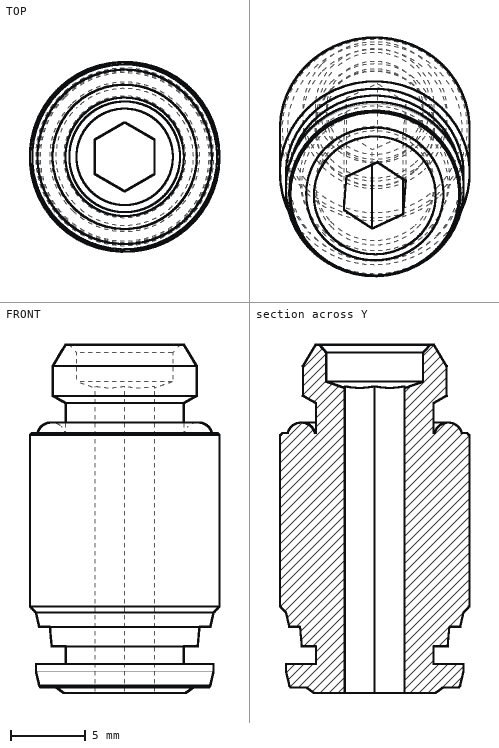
import cadquery as cq
import math

height = 23.5
body_radius = 12.8 / 2
neck_radius = 8.0 / 2

foot_top = 0.38
flange_edge_top = 0.52
flange_taper_top = 1.45
flange_top = 1.97
collar_bottom = 3.15
collar_step = 4.46
body_chamfer_bottom = 5.43
body_bottom = 5.85

body_rim_bottom = 17.4
body_top = 17.55
head_bottom = 19.55
head_lower_edge = 20.05
head_upper_edge = 22.05

foot_bottom_radius = 4.11
foot_top_radius = 4.63
flange_radius = 12.0 / 2
flange_underside_radius = 5.69
taper_radius = 5.78
collar_bottom_radius = 4.94
collar_top_radius = 5.05
head_radius = 9.73 / 2
body_rim_chamfer = body_top - body_rim_bottom

seal_top = 18.25
seal_section_radius = 0.96
seal_center_radius = neck_radius + seal_section_radius
seal_center_height = seal_top - seal_section_radius

socket_radius = 6.5 / 2
socket_mouth_radius = 3.74
socket_mouth_depth = 0.55
socket_depth = 2.5
floor_angle = 19.0
hex_across_flats = 4.02


def make_body():
    """Revolve the stepped outside shape about Z."""
    profile = [
        (0, 0),
        (foot_bottom_radius, 0),
        (foot_top_radius, foot_top),
        (flange_underside_radius, foot_top),
        (taper_radius, flange_edge_top),
        (flange_radius, flange_taper_top),
        (flange_radius, flange_top),
        (neck_radius, flange_top),
        (neck_radius, collar_bottom),
        (collar_bottom_radius, collar_bottom),
        (collar_top_radius, collar_step),
        (taper_radius, collar_step),
        (flange_radius, body_chamfer_bottom),
        (body_radius, body_bottom),
        (body_radius, body_rim_bottom),
        (body_radius - body_rim_chamfer, body_top),
        (neck_radius, body_top),
        (neck_radius, head_bottom),
        (head_radius, head_lower_edge),
        (head_radius, head_upper_edge),
        (neck_radius, height),
        (0, height),
    ]
    return cq.Workplane("XZ").polyline(profile).close().revolve(360, (0, 0), (0, 1))


def make_seal():
    """Round ring between the body top and the head."""
    return (
        cq.Workplane("XZ")
        .center(seal_center_radius, seal_center_height)
        .circle(seal_section_radius)
        .revolve(360, (-seal_center_radius, 0), (-seal_center_radius, 1))
    )


def make_socket():
    """Cutter for the countersunk round socket and its conical floor."""
    floor_edge = height - socket_depth
    floor_apex = floor_edge - socket_radius * math.tan(math.radians(floor_angle))
    profile = [
        (0, floor_apex),
        (socket_radius, floor_edge),
        (socket_radius, height - socket_mouth_depth),
        (socket_mouth_radius, height),
        (0, height),
    ]
    return cq.Workplane("XZ").polyline(profile).close().revolve(360, (0, 0), (0, 1))


def make_hex_hole():
    """Hexagonal cutter along the full axis, with two corners on the Y axis."""
    across_corners = hex_across_flats / math.cos(math.radians(30))
    return (
        cq.Workplane("XY")
        .transformed(rotate=(0, 0, 90))
        .polygon(6, across_corners)
        .extrude(height)
    )


result = make_body().union(make_seal()).cut(make_socket()).cut(make_hex_hole())